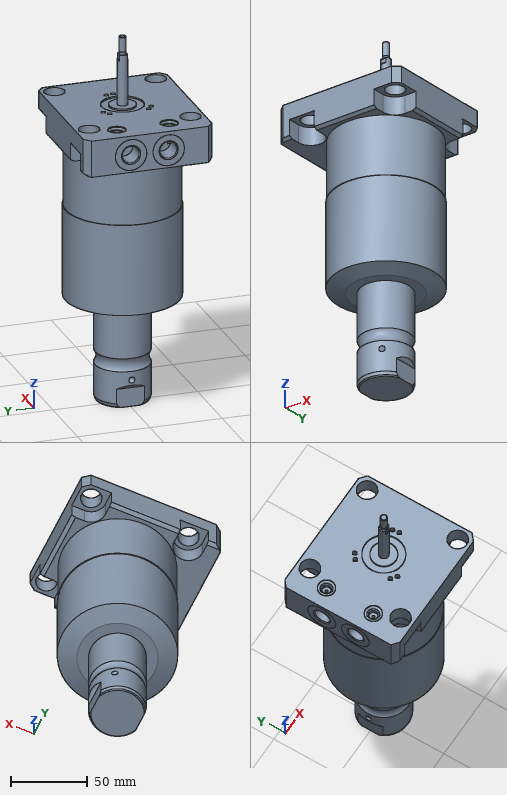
import cadquery as cq
import math


plate_length = 100.0
plate_width = 89.0
plate_thickness = 25.5
plate_right = 44.4
plate_left = plate_right - plate_length
corner_cut_x = 4.8
corner_cut_y = 4.0
rim_bevel_width = 2.8
rim_bevel_height = 1.5
cut_margin = 2.5

bolt_spacing = 70.0
bolt_hole_diameter = 14.0
bolt_pocket_radius = 10.2
bolt_pocket_height = 13.3

ring_outer_diameter = 28.8
ring_inner_diameter = 18.4
ring_depth = 1.0

small_hole_diameter = 3.0
small_hole_depth = 3.8
small_hole_circle_radius = 19.0
small_hole_angles = [0, 15, 120, 135, 225, 240]

port_x = -41.5
top_port_offset = 18.0
top_port_seat_diameter = 12.0
top_port_seat_depth = 2.0
seal_ring_radius = 5.0
seal_ring_wire_radius = 1.0
seal_ring_center_depth = 1.3
top_port_diameter = 6.5
top_port_depth = 4.5
passage_diameter = 2.0
passage_depth = 14.5

side_port_offset = 13.0
side_port_z = -13.3
side_port_seat_diameter = 21.7
side_port_seat_depth = 0.13
side_port_mouth_diameter = 13.3
side_port_diameter = 11.7
side_port_mouth_depth = 0.8
side_port_depth = port_x - plate_left

upper_body_radius = 39.0
lower_body_radius = 39.5
body_step_z = -69.8
body_cone_start_z = -133.3
body_cone_end_z = -137.1
body_cone_end_radius = 26.5
nose_diameter = 38.0
nose_radius = nose_diameter / 2
nose_end_z = -207.0
nose_groove_top_z = -172.0
nose_groove_bottom_z = -181.2
nose_groove_depth = 1.5
nose_bevel_width = 0.8
nose_bevel_height = 3.0
nose_edge_chamfer = 0.8

nose_flat_distance = 16.3
nose_flat_top_z = -193.7
dimple_z = -187.4
dimple_diameter = 4.3
dimple_depth = 2.3
dimple_angles = [60, 180, 300]

shaft_radius = 3.5
shaft_shoulder_z = 35.5
tip_radius = 2.42
tip_bevel = 0.5
tip_end_z = nose_end_z + 255
shaft_flat_distance = 2.8
tip_groove_radius = 2.3
tip_groove_top_z = 37.5
tip_groove_bottom_z = 36.7
shaft_flat_bottom_z = 31.5


def cylinder(diameter, top, height, x=0, y=0):
    """Vertical cylinder hanging down from the given top level."""
    disc = cq.Workplane("XY", origin=(x, y, top)).circle(diameter / 2)
    return disc.extrude(-height)


def turned_cutter(steps):
    """Round cutter about Z from its mouth at Z = 0 down; steps are (radius, depth) pairs."""
    last_radius, deepest = steps[-1]
    outline = [(0, 0)] + [(radius, -depth) for radius, depth in steps]
    if last_radius > 0:
        outline.append((0, -deepest))
    return cq.Workplane("XZ").polyline(outline).close().revolve(360, (0, 0, 0), (0, 1, 0))


def turn_inward(cutter):
    """Turn a downward cutter so that it bores toward -X."""
    return cutter.rotate((0, 0, 0), (0, 1, 0), 90)


def make_spindle():
    """Body, nose and shaft turned about the Z axis as one profile."""
    groove_middle_z = (nose_groove_top_z + nose_groove_bottom_z) / 2
    return (
        cq.Workplane("XZ")
        .moveTo(0, nose_end_z)
        .lineTo(nose_radius - nose_bevel_width - nose_edge_chamfer, nose_end_z)
        .lineTo(nose_radius - nose_bevel_width, nose_end_z + nose_edge_chamfer)
        .lineTo(nose_radius, nose_end_z + nose_bevel_height)
        .lineTo(nose_radius, nose_groove_bottom_z)
        .threePointArc(
            (nose_radius - nose_groove_depth, groove_middle_z),
            (nose_radius, nose_groove_top_z),
        )
        .lineTo(nose_radius, body_cone_end_z)
        .lineTo(body_cone_end_radius, body_cone_end_z)
        .lineTo(lower_body_radius, body_cone_start_z)
        .lineTo(lower_body_radius, body_step_z)
        .lineTo(upper_body_radius, body_step_z)
        .lineTo(upper_body_radius, -plate_thickness)
        .lineTo(shaft_radius, -plate_thickness)
        .lineTo(shaft_radius, shaft_shoulder_z)
        .lineTo(tip_radius, shaft_shoulder_z)
        .lineTo(tip_groove_radius, tip_groove_bottom_z)
        .lineTo(tip_groove_radius, tip_groove_top_z)
        .lineTo(tip_radius, tip_groove_top_z)
        .lineTo(tip_radius, tip_end_z - tip_bevel)
        .lineTo(tip_radius - tip_bevel, tip_end_z)
        .lineTo(0, tip_end_z)
        .close()
        .revolve(360, (0, 0, 0), (0, 1, 0))
    )


def make_plate():
    """Rectangular plate with cut corners and a bevelled lower rim on three sides."""
    half_width = plate_width / 2
    quarter_outline = [
        (plate_left, half_width - corner_cut_y),
        (plate_left + corner_cut_x, half_width),
        (plate_right - corner_cut_x, half_width),
        (plate_right, half_width - corner_cut_y),
    ]
    mirrored_outline = [(x, -y) for x, y in reversed(quarter_outline)]
    plate = cq.Workplane("XY").polyline(quarter_outline + mirrored_outline).close().extrude(-plate_thickness)

    bevel_corners = [
        (-rim_bevel_width, -plate_thickness),
        (0, -plate_thickness + rim_bevel_height),
        (0, -plate_thickness),
    ]
    side_points = [(half_width + y, z) for y, z in bevel_corners]
    side_plane = cq.Workplane("YZ", origin=(plate_left, 0, 0))
    side_bevel = side_plane.polyline(side_points).close().extrude(plate_length)
    end_points = [(plate_right + x, z) for x, z in bevel_corners]
    end_bevel = cq.Workplane("XZ").polyline(end_points).close().extrude(half_width, both=True)
    return plate.cut(side_bevel).cut(side_bevel.mirror("XZ")).cut(end_bevel)


def bolt_pocket(is_right):
    """Pocket under the +Y bolt holes: round inside, open to +Y and, on the right, also to +X."""
    center = bolt_spacing / 2
    height = bolt_pocket_height + cut_margin
    bottom = -plate_thickness - cut_margin
    reach = plate_width / 2 + cut_margin - center
    inner_x = center - bolt_pocket_radius
    outer_x = plate_right + cut_margin if is_right else center + bolt_pocket_radius

    pocket = cylinder(2 * bolt_pocket_radius, bottom + height, height, center, center)
    slot = cq.Workplane("XY").box(outer_x - inner_x, reach, height, centered=False)
    pocket = pocket.union(slot.translate((inner_x, center, bottom)))
    if is_right:
        opening_depth = reach + bolt_pocket_radius
        opening = cq.Workplane("XY").box(outer_x - center, opening_depth, height, centered=False)
        return pocket.union(opening.translate((center, center - bolt_pocket_radius, bottom)))
    return pocket.translate((-bolt_spacing, 0, 0))


def cut_bolt_holes(part):
    for is_right in (False, True):
        pocket = bolt_pocket(is_right)
        part = part.cut(pocket).cut(pocket.mirror("XZ"))
    holes = (
        cq.Workplane("XY")
        .rarray(bolt_spacing, bolt_spacing, 2, 2)
        .circle(bolt_hole_diameter / 2)
        .extrude(-plate_thickness)
    )
    return part.cut(holes)


def cut_top_details(part):
    """Ring groove around the shaft and the pairs of small holes outside it."""
    ring = cylinder(ring_outer_diameter, 0, ring_depth).cut(cylinder(ring_inner_diameter, 0, ring_depth))
    part = part.cut(ring)
    for degrees in small_hole_angles:
        angle = math.radians(degrees)
        x = small_hole_circle_radius * math.cos(angle)
        y = small_hole_circle_radius * math.sin(angle)
        part = part.cut(cylinder(small_hole_diameter, 0, small_hole_depth, x, y))
    return part


def cut_ports(part):
    """Ports on both faces; a narrow passage joins each top port to the side port below it."""
    top_port = turned_cutter([
        (top_port_seat_diameter / 2, 0),
        (top_port_seat_diameter / 2, top_port_seat_depth),
        (top_port_diameter / 2, top_port_seat_depth),
        (top_port_diameter / 2, top_port_depth),
        (passage_diameter / 2, top_port_depth),
        (passage_diameter / 2, passage_depth),
    ])
    seal_ring = cq.Workplane(cq.Solid.makeTorus(seal_ring_radius, seal_ring_wire_radius))
    top_port = top_port.cut(seal_ring.translate((0, 0, -seal_ring_center_depth)))
    side_port = turned_cutter([
        (side_port_seat_diameter / 2, 0),
        (side_port_seat_diameter / 2, side_port_seat_depth),
        (side_port_mouth_diameter / 2, side_port_seat_depth),
        (side_port_diameter / 2, side_port_mouth_depth),
        (side_port_diameter / 2, side_port_depth),
    ])
    side_port = turn_inward(side_port).rotate((0, 0, 0), (0, 0, 1), 180)
    for side in (-1, 1):
        part = part.cut(top_port.translate((port_x, side * top_port_offset, 0)))
        part = part.cut(side_port.translate((plate_left, side * side_port_offset, side_port_z)))
    return part


def cut_nose(part):
    """Two wrench flats with 45 degree run-outs, and the conical dimples above them."""
    outer_x = nose_radius + cut_margin
    run_out_z = nose_flat_top_z + outer_x - nose_flat_distance
    flat = (
        cq.Workplane("XZ")
        .moveTo(nose_flat_distance, nose_end_z)
        .lineTo(nose_flat_distance, nose_flat_top_z)
        .lineTo(outer_x, run_out_z)
        .lineTo(outer_x, nose_end_z)
        .close()
        .extrude(nose_radius, both=True)
    )
    part = part.cut(flat).cut(flat.mirror("YZ"))

    cone = turned_cutter([(dimple_diameter, 0), (0, 2 * dimple_depth)])
    cone = turn_inward(cone).translate((nose_radius + dimple_depth, 0, dimple_z))
    for degrees in dimple_angles:
        part = part.cut(cone.rotate((0, 0, 0), (0, 0, 1), degrees))
    return part


def cut_shaft_flats(part):
    """Two flats across Y just below the shoulder of the shaft."""
    flat_height = shaft_shoulder_z - shaft_flat_bottom_z
    flat = cq.Workplane("XY").box(2 * shaft_radius, shaft_radius, flat_height, centered=(True, False, False))
    flat = flat.translate((0, shaft_flat_distance, shaft_flat_bottom_z))
    return part.cut(flat).cut(flat.mirror("XZ"))


plate = cut_top_details(cut_bolt_holes(make_plate()))
plate = cut_ports(plate)
spindle = cut_shaft_flats(cut_nose(make_spindle()))
result = plate.union(spindle)